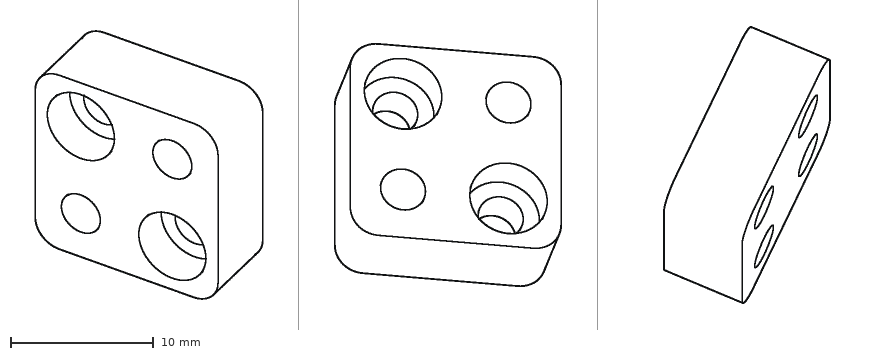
import cadquery as cq

side = 15.0
thickness = 6.0
corner_radius = 2.0

hole_spacing = side / 2
hole_diameter = 3.2

counterbore_diameter = 5.5
counterbore_depth = 3.0

half_spacing = hole_spacing / 2
all_holes = [(x, z) for x in (-half_spacing, half_spacing) for z in (-half_spacing, half_spacing)]
counterbored_holes = [(x, z) for x, z in all_holes if x == -z]


def cylinders(centres, diameter, depth):
    """Cylinders along +Y that start on the -Y face of the block."""
    front = cq.Workplane("XZ", origin=(0, -thickness / 2, 0))
    return front.pushPoints(centres).circle(diameter / 2).extrude(-depth)


block = cq.Workplane("XY").box(side, thickness, side).edges("|Y").fillet(corner_radius)
through_holes = cylinders(all_holes, hole_diameter, thickness)
counterbores = cylinders(counterbored_holes, counterbore_diameter, counterbore_depth)

result = block.cut(through_holes).cut(counterbores)